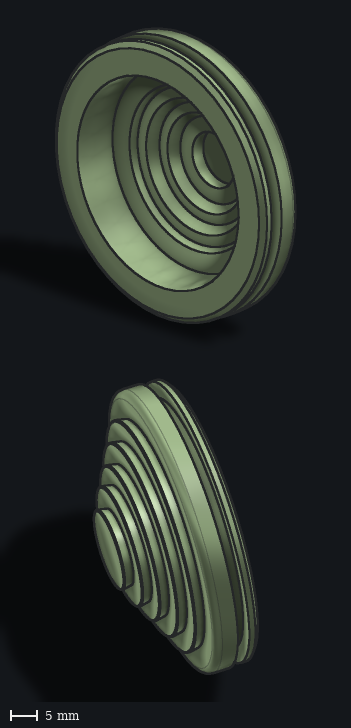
import cadquery as cq

outer_radius = 28.0
total_depth = 19.7

flange_radius = 27.7
flange_face_radius = 26.55
flange_chamfer_depth = 0.95
flange_back = 2.2
groove_front_radius = 24.5
groove_back_radius = 24.25

collar_front = 4.6
collar_back = 9.2
collar_fillet = 1.45

step_radii = [22.9, 19.15, 15.35, 11.9, 7.9]
step_undercut = 0.35
step_chamfer = 0.2
step_pitch = (total_depth - collar_back) / len(step_radii)

roof_thickness = 0.55
mouth_radius = 21.15
mouth_inner_radius = 20.5
mouth_depth = 8.8
cavity_steps = [(16.65, 15.8), (13.55, 12.1), (10.0, 8.7)]
cavity_first_depth = 9.4
bore_radius = 5.55
bore_depth = 17.85


def revolve_about_y(outline):
    """Turn a closed (radius, depth) outline once around the Y axis."""
    return outline.close().revolve(360, (0, 0, 0), (0, 1, 0))


def make_body():
    outline = (
        cq.Workplane("XY")
        .lineTo(flange_face_radius, 0)
        .lineTo(flange_radius, flange_chamfer_depth)
        .lineTo(flange_radius, flange_back)
        .lineTo(groove_front_radius, flange_back)
        .lineTo(groove_back_radius, collar_front)
        .lineTo(outer_radius, collar_front)
        .lineTo(outer_radius, collar_back - collar_fillet)
        .radiusArc((outer_radius - collar_fillet, collar_back), -collar_fillet)
    )
    for index, back_radius in enumerate(step_radii):
        step_front = collar_back + index * step_pitch
        outline = outline.lineTo(back_radius - step_undercut, step_front)
        step_back = step_front + step_pitch
        outline = outline.lineTo(back_radius, step_back - step_chamfer)
        outline = outline.lineTo(back_radius - step_chamfer, step_back)
    return revolve_about_y(outline.lineTo(0, total_depth))


def make_cavity():
    outline = (
        cq.Workplane("XY")
        .lineTo(mouth_radius, 0)
        .lineTo(mouth_inner_radius, mouth_depth)
    )
    front_depth = cavity_first_depth
    for index, (front_radius, back_radius) in enumerate(cavity_steps):
        back_depth = collar_back + (index + 1) * step_pitch - roof_thickness
        outline = outline.lineTo(front_radius, front_depth)
        outline = outline.lineTo(back_radius, back_depth)
        front_depth = back_depth
    outline = outline.lineTo(bore_radius, front_depth)
    outline = outline.lineTo(bore_radius, bore_depth).lineTo(0, bore_depth)
    return revolve_about_y(outline)


result = make_body().cut(make_cavity())